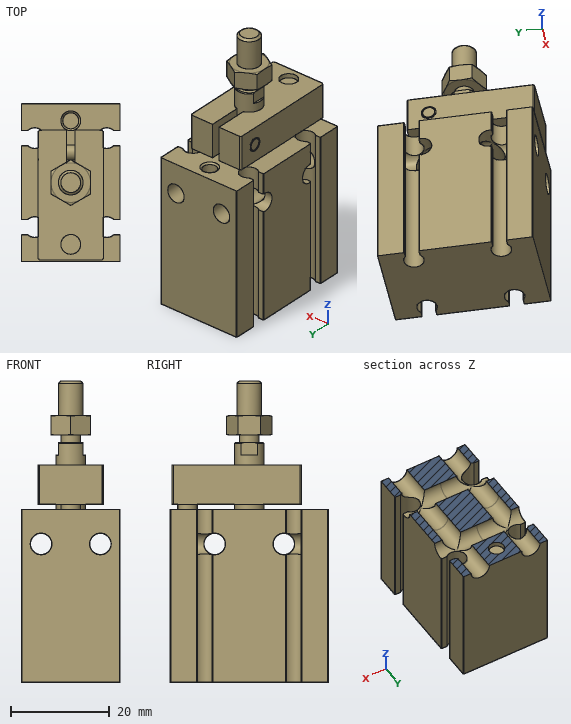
import cadquery as cq
import math

HOUSING_WIDTH = 20.0
HOUSING_LENGTH = 32.0
HOUSING_HEIGHT = 35.0
HOUSING_EDGE_CHAMFER = 0.15

GROOVE_OFFSET = 9.0
GROOVE_MOUTH_WIDTH = 3.0
GROOVE_CHANNEL_DIAMETER = 4.13
GROOVE_CHANNEL_DEPTH = 2.7

MOUNTING_HOLE_DIAMETER = 4.3
MOUNTING_HOLE_Z = 28.0
LENGTHWISE_HOLE_X = 6.0
CROSSWISE_HOLE_Y = 7.0

GUIDE_OFFSET = 12.5
TAPPED_HOLE_MOUTH_DIAMETER = 4.0
TAPPED_HOLE_DIAMETER = 3.24
TAPPED_HOLE_MOUTH_ANGLE = 90.0
TAPPED_HOLE_DEPTH = 8.0

PLATE_WIDTH = 13.2
PLATE_REAR_Y = 10.6
PLATE_FRONT_Y = -15.65
PLATE_HEIGHT = 8.0
PLATE_GAP = 1.0
PLATE_CORNER_CHAMFER = 0.3
PLATE_BOTTOM_Z = HOUSING_HEIGHT + PLATE_GAP
PLATE_TOP_Z = PLATE_BOTTOM_Z + PLATE_HEIGHT

CLAMP_SLIT_WIDTH = 1.7
CLAMP_SCREW_Y = 6.1
CLAMP_SCREW_DIAMETER = 3.0
CLAMP_SCREW_CHAMFER = 0.25

GUIDE_PIN_DIAMETER = 4.0
GUIDE_PIN_RECESS = 1.0

ROD_DIAMETER = 6.0
ROD_TOP_Z = 48.5
ROD_CHAMFER = 0.2
ROD_FLAT_SPACING = 5.0
ROD_FLAT_BOTTOM_Z = 46.0

NECK_DIAMETER = 4.0
NUT_BOTTOM_Z = 50.0
NUT_HEIGHT = 4.0
NUT_SIDES = 6
NUT_HALF_SIDE_ANGLE = 180.0 / NUT_SIDES
NUT_ACROSS_FLATS = 8.0
NUT_CHAMFER_ANGLE = 15.0
STUD_DIAMETER = 5.0
STUD_TOP_Z = 61.0
STUD_CHAMFER = 0.5


def upright_cylinder(diameter, bottom_z, top_z, y=0.0):
    """Vertical cylinder on the YZ plane between two heights."""
    return (
        cq.Workplane("XY", origin=(0, y, bottom_z))
        .circle(diameter / 2)
        .extrude(top_z - bottom_z)
    )


def sensor_groove(side, y):
    """Groove cutter on the side face with X sign `side`, centred at y."""
    face_x = side * HOUSING_WIDTH / 2
    channel_x = face_x - side * GROOVE_CHANNEL_DEPTH
    mouth = (
        cq.Workplane("XY")
        .center((face_x + channel_x) / 2, y)
        .rect(GROOVE_CHANNEL_DEPTH, GROOVE_MOUTH_WIDTH)
        .extrude(HOUSING_HEIGHT)
    )
    channel = (
        cq.Workplane("XY")
        .center(channel_x, y)
        .circle(GROOVE_CHANNEL_DIAMETER / 2)
        .extrude(HOUSING_HEIGHT)
    )
    return mouth.union(channel)


def mounting_holes():
    """Two through holes along Y and two along X, all at one height."""
    lengthwise = (
        cq.Workplane("XZ")
        .pushPoints([(sign * LENGTHWISE_HOLE_X, MOUNTING_HOLE_Z) for sign in (-1, 1)])
        .circle(MOUNTING_HOLE_DIAMETER / 2)
        .extrude(HOUSING_LENGTH / 2, both=True)
    )
    crosswise = (
        cq.Workplane("YZ")
        .pushPoints([(sign * CROSSWISE_HOLE_Y, MOUNTING_HOLE_Z) for sign in (-1, 1)])
        .circle(MOUNTING_HOLE_DIAMETER / 2)
        .extrude(HOUSING_WIDTH / 2, both=True)
    )
    return lengthwise.union(crosswise)


def make_housing():
    """Grooved block with mounting holes and a countersunk tapped hole."""
    housing = cq.Workplane("XY").box(
        HOUSING_WIDTH, HOUSING_LENGTH, HOUSING_HEIGHT, centered=(True, True, False)
    )
    for side in (-1, 1):
        for y in (-GROOVE_OFFSET, GROOVE_OFFSET):
            housing = housing.cut(sensor_groove(side, y))
    housing = housing.faces("<X or >X").edges("|Z").chamfer(HOUSING_EDGE_CHAMFER)
    housing = housing.cut(mounting_holes())
    return (
        housing.faces(">Z")
        .workplane(origin=(0, GUIDE_OFFSET, HOUSING_HEIGHT))
        .cskHole(
            TAPPED_HOLE_DIAMETER,
            TAPPED_HOLE_MOUTH_DIAMETER,
            TAPPED_HOLE_MOUTH_ANGLE,
            TAPPED_HOLE_DEPTH,
        )
    )


def make_plate():
    """End plate with a clamp slit running from its rear face to the rod."""
    plate = (
        cq.Workplane("XY", origin=(0, (PLATE_REAR_Y + PLATE_FRONT_Y) / 2, PLATE_BOTTOM_Z))
        .rect(PLATE_WIDTH, PLATE_REAR_Y - PLATE_FRONT_Y)
        .extrude(PLATE_HEIGHT)
        .edges("|Z")
        .chamfer(PLATE_CORNER_CHAMFER)
    )
    slit = (
        cq.Workplane("XY", origin=(0, PLATE_REAR_Y / 2, PLATE_BOTTOM_Z))
        .rect(CLAMP_SLIT_WIDTH, PLATE_REAR_Y)
        .extrude(PLATE_HEIGHT)
    )
    return plate.cut(slit)


def add_clamp_screw(plate):
    """Screw across the slit, its chamfered end flush with the side of the plate."""
    screw_z = PLATE_BOTTOM_Z + PLATE_HEIGHT / 2
    end_plane = cq.Workplane("YZ", origin=(-PLATE_WIDTH / 2, CLAMP_SCREW_Y, screw_z))
    recess = end_plane.circle(CLAMP_SCREW_DIAMETER / 2).extrude(CLAMP_SCREW_CHAMFER)
    screw = (
        end_plane.circle(CLAMP_SCREW_DIAMETER / 2)
        .extrude(PLATE_WIDTH)
        .faces("<X")
        .chamfer(CLAMP_SCREW_CHAMFER)
    )
    return plate.cut(recess).union(screw)


def add_guide_pin(plate):
    """Pin below the plate, its upper end recessed below the plate's top face."""
    pin_top_z = PLATE_TOP_Z - GUIDE_PIN_RECESS
    recess = upright_cylinder(GUIDE_PIN_DIAMETER, pin_top_z, PLATE_TOP_Z, -GUIDE_OFFSET)
    pin = upright_cylinder(GUIDE_PIN_DIAMETER, HOUSING_HEIGHT, pin_top_z, -GUIDE_OFFSET)
    return plate.cut(recess).union(pin)


def make_rod():
    """Rod standing on the housing, with two wrench flats, a neck and a stud."""
    rod = upright_cylinder(ROD_DIAMETER, HOUSING_HEIGHT, ROD_TOP_Z)
    rod = rod.faces(">Z").chamfer(ROD_CHAMFER)
    flat_depth = (ROD_DIAMETER - ROD_FLAT_SPACING) / 2
    for side in (-1, 1):
        flat_x = side * (ROD_FLAT_SPACING + flat_depth) / 2
        flat = (
            cq.Workplane("XY", origin=(flat_x, 0, ROD_FLAT_BOTTOM_Z))
            .rect(flat_depth, ROD_DIAMETER)
            .extrude(ROD_TOP_Z - ROD_FLAT_BOTTOM_Z)
        )
        rod = rod.cut(flat)
    neck = upright_cylinder(NECK_DIAMETER, ROD_TOP_Z, NUT_BOTTOM_Z)
    stud = upright_cylinder(STUD_DIAMETER, NUT_BOTTOM_Z, STUD_TOP_Z)
    stud = stud.faces(">Z").chamfer(STUD_CHAMFER)
    return rod.union(neck).union(stud)


def make_nut():
    """Hexagon with corners along Y, bevelled by a cone at both ends."""
    flat_radius = NUT_ACROSS_FLATS / 2
    corner_radius = flat_radius / math.cos(math.radians(NUT_HALF_SIDE_ANGLE))
    bevel_height = (corner_radius - flat_radius) * math.tan(math.radians(NUT_CHAMFER_ANGLE))
    nut_top_z = NUT_BOTTOM_Z + NUT_HEIGHT
    hexagon = (
        cq.Workplane("XY", origin=(0, 0, NUT_BOTTOM_Z))
        .polygon(NUT_SIDES, 2 * corner_radius)
        .extrude(NUT_HEIGHT)
        .rotate((0, 0, 0), (0, 0, 1), NUT_HALF_SIDE_ANGLE)
    )
    bevel_envelope = (
        cq.Workplane("XZ")
        .moveTo(0, NUT_BOTTOM_Z)
        .lineTo(flat_radius, NUT_BOTTOM_Z)
        .lineTo(corner_radius, NUT_BOTTOM_Z + bevel_height)
        .lineTo(corner_radius, nut_top_z - bevel_height)
        .lineTo(flat_radius, nut_top_z)
        .lineTo(0, nut_top_z)
        .close()
        .revolve(360, (0, 0, 0), (0, 1, 0))
    )
    return hexagon.intersect(bevel_envelope)


def make_rod_assembly():
    """Everything that moves with the rod, as one solid."""
    plate = add_guide_pin(add_clamp_screw(make_plate()))
    return plate.union(make_rod()).union(make_nut())


housing = make_housing()
rod_assembly = make_rod_assembly()

result = cq.Compound.makeCompound([housing.solids().val(), rod_assembly.solids().val()])